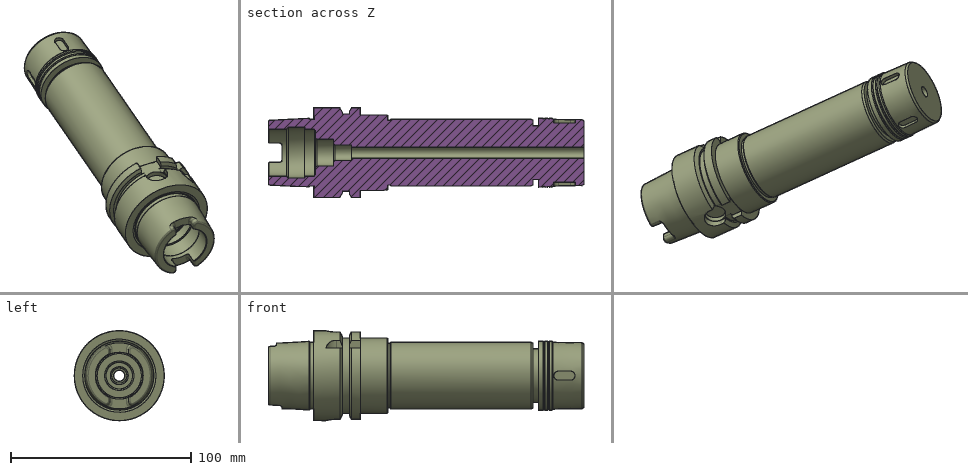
import cadquery as cq
import math


SHANK_FRONT = -25.0
RELIEF_START = -2.5
GROOVE_CENTER = 18.0
FLANGE_END = 26.0
COLLAR_END = 41.2
BODY_START = 43.0
BODY_END = 121.7
NUT_START = 124.7
NUT_CONE_START = 132.7
TOTAL_END = 150.0

SHANK_FRONT_RADIUS = 18.0
SHANK_TAPER = 1 / 20
RELIEF_RADIUS = 18.6
RELIEF_RAMP = 0.6
FACE_RELIEF_RADIUS = 20.3
FACE_RELIEF_FLOOR_RADIUS = 19.2
FACE_RELIEF_DEPTH = 0.4
NOTCH_WIDTH = 10.5
NOTCH_DEPTH_TOP = 4.4
NOTCH_DEPTH_BOTTOM = 7.4
NOTCH_CORNER_RADIUS = 2.0
NOTCH_FLOOR_RADIUS = 1.25
NOSE_RADIUS = 0.8

MOUTH_RADIUS = 13.0
MOUTH_CHAMFER = 0.3
MOUTH_LENGTH = 10.0
CAVITY_RADIUS = 14.0
CAVITY_LENGTH = 20.0
SEAT_RADIUS = 12.25
SEAT_LENGTH = 26.0
THREAD_RADIUS = 8.15
THREAD_LENGTH = 36.0
TUBE_RADIUS = 5.0
TUBE_LENGTH = 46.0
THROUGH_RADIUS = 3.0
STEP_CHAMFER = 0.8

FLANGE_RADIUS = 25.0
GROOVE_RADIUS = 21.5
GROOVE_WIDTH = 3.75
GROOVE_FLANK_ANGLE = 30.0
FRONT_FLANK_LENGTH = 1.5
REAR_FLANK_LENGTH = 1.1

CUTTER_RADIUS = 6.0
CUTTER_STOP = 12.7
SLOT_FLOOR = 21.0
POCKET_RADIUS = 5.75
POCKET_FLOOR = 18.2
ORIENT_FLOOR_Z = 15.4
ORIENT_WALL_Y = -15.5

COLLAR_RADIUS = 21.0
COLLAR_CHAMFER = 0.5
NECK_RADIUS = 18.0
BODY_RADIUS = 18.6
BODY_FRONT_CHAMFER = 0.6
BODY_END_CHAMFER = 1.2
NUT_NECK_RADIUS = 15.0

NUT_RADIUS = 19.2
NUT_CONE_RADIUS = 18.7
NUT_END_RADIUS = 18.4
NUT_CHAMFER_LENGTH = 1.2
NUT_CHAMFER_DEPTH = 0.8
NUT_STEP_LENGTH = 0.6
RING_COUNT = 2
RING_FIRST = 127.75
RING_PITCH = 2.65
RING_WIDTH = 1.1
RING_DEPTH = 0.5
KEY_COUNT = 4
KEY_START = 133.3
KEY_END = 145.0
KEY_WIDTH = 5.0
KEY_FLOOR = 16.5

TOLERANCE = 0.01


def revolve(outline):
    """Revolve (axial position, radius) points around the X axis."""
    return cq.Workplane("XY").polyline(outline).close().revolve(360, (0, 0, 0), (1, 0, 0))


def box_between(low, high):
    """Box with the given opposite corners."""
    size = [b - a for a, b in zip(low, high)]
    return cq.Workplane("XY").box(*size, centered=False).translate(low)


def axial_length(edge):
    """Extent of an edge along X."""
    box = edge.BoundingBox()
    return box.xmax - box.xmin


def axis_distance(edge):
    """Distance of the middle of an edge from the X axis."""
    middle = edge.positionAt(0.5)
    return math.hypot(middle.y, middle.z)


def make_shank():
    """Taper shank with its cavity mouth, the two drive notches and rounded noses."""
    taper_end_radius = SHANK_FRONT_RADIUS + SHANK_TAPER * (RELIEF_START - SHANK_FRONT)
    shank = revolve([
        (SHANK_FRONT, MOUTH_RADIUS),
        (SHANK_FRONT, SHANK_FRONT_RADIUS),
        (RELIEF_START, taper_end_radius),
        (RELIEF_START + RELIEF_RAMP, RELIEF_RADIUS),
        (FACE_RELIEF_DEPTH, RELIEF_RADIUS),
        (FACE_RELIEF_DEPTH, MOUTH_RADIUS),
    ])
    half = NOTCH_WIDTH / 2
    for depth, low_z, high_z in (
        (NOTCH_DEPTH_TOP, 0, FLANGE_RADIUS),
        (NOTCH_DEPTH_BOTTOM, -FLANGE_RADIUS, 0),
    ):
        shank = shank.cut(box_between(
            (SHANK_FRONT, -half, low_z), (SHANK_FRONT + depth, half, high_z)))

    corners = [
        edge for edge in shank.edges().vals()
        if abs(edge.BoundingBox().xmin - SHANK_FRONT) < TOLERANCE
        and axial_length(edge) > TOLERANCE
        and abs(abs(edge.Center().y) - half) < TOLERANCE
        and axis_distance(edge) > (MOUTH_RADIUS + SHANK_FRONT_RADIUS) / 2
    ]
    shank = shank.newObject(corners).fillet(NOTCH_CORNER_RADIUS)

    floor_edges = []
    for depth, side in ((NOTCH_DEPTH_TOP, 1), (NOTCH_DEPTH_BOTTOM, -1)):
        floor_edges += [
            edge for edge in shank.edges().vals()
            if edge.geomType() == "LINE"
            and axial_length(edge) < TOLERANCE
            and abs(edge.Center().x - SHANK_FRONT - depth) < TOLERANCE
            and side * edge.Center().z > 0
        ]
    shank = shank.newObject(floor_edges).fillet(NOTCH_FLOOR_RADIUS)

    nose_edges = [
        edge for edge in shank.faces("<X").edges().vals()
        if axis_distance(edge) > MOUTH_RADIUS + TOLERANCE
    ]
    return shank.newObject(nose_edges).fillet(NOSE_RADIUS)


def make_flange_and_body():
    """Solid of revolution behind the contact face, up to the nut neck."""
    slope = 1 / math.tan(math.radians(GROOVE_FLANK_ANGLE))
    groove_front = GROOVE_CENTER - GROOVE_WIDTH / 2
    groove_rear = GROOVE_CENTER + GROOVE_WIDTH / 2
    return revolve([
        (FACE_RELIEF_DEPTH, 0),
        (FACE_RELIEF_DEPTH, FACE_RELIEF_FLOOR_RADIUS),
        (0, FACE_RELIEF_RADIUS),
        (0, FLANGE_RADIUS),
        (groove_front - FRONT_FLANK_LENGTH, FLANGE_RADIUS),
        (groove_front, FLANGE_RADIUS - FRONT_FLANK_LENGTH * slope),
        (groove_front, GROOVE_RADIUS),
        (groove_rear, GROOVE_RADIUS),
        (groove_rear, FLANGE_RADIUS - REAR_FLANK_LENGTH * slope),
        (groove_rear + REAR_FLANK_LENGTH, FLANGE_RADIUS),
        (FLANGE_END, FLANGE_RADIUS),
        (FLANGE_END, COLLAR_RADIUS),
        (COLLAR_END - COLLAR_CHAMFER, COLLAR_RADIUS),
        (COLLAR_END, COLLAR_RADIUS - COLLAR_CHAMFER),
        (COLLAR_END, NECK_RADIUS),
        (BODY_START - BODY_FRONT_CHAMFER, NECK_RADIUS),
        (BODY_START, BODY_RADIUS),
        (BODY_END - BODY_END_CHAMFER, BODY_RADIUS),
        (BODY_END, BODY_RADIUS - BODY_END_CHAMFER / 2),
        (BODY_END, NUT_NECK_RADIUS),
        (NUT_START, NUT_NECK_RADIUS),
        (NUT_START, 0),
    ])


def make_nut():
    """Collet nut with its V rings and the wrench slots."""
    outline = [(NUT_START, 0), (NUT_START, NUT_RADIUS)]
    for index in range(RING_COUNT):
        center = RING_FIRST + index * RING_PITCH
        outline += [
            (center - RING_WIDTH / 2, NUT_RADIUS),
            (center, NUT_RADIUS - RING_DEPTH),
            (center + RING_WIDTH / 2, NUT_RADIUS),
        ]
    outline += [
        (NUT_CONE_START - NUT_STEP_LENGTH, NUT_RADIUS),
        (NUT_CONE_START, NUT_CONE_RADIUS),
        (TOTAL_END - NUT_CHAMFER_LENGTH, NUT_END_RADIUS),
        (TOTAL_END, NUT_END_RADIUS - NUT_CHAMFER_DEPTH),
        (TOTAL_END, 0),
    ]
    nut = revolve(outline)
    key_slot = (
        cq.Workplane("XY", origin=((KEY_START + KEY_END) / 2, 0, KEY_FLOOR))
        .slot2D(KEY_END - KEY_START, KEY_WIDTH)
        .extrude(NUT_RADIUS)
    )
    for index in range(KEY_COUNT):
        nut = nut.cut(key_slot.rotate((0, 0, 0), (1, 0, 0), index * 360 / KEY_COUNT))
    return nut


def make_bore():
    """Stepped bore from the shank mouth through the whole length."""
    mouth_end = SHANK_FRONT + MOUTH_LENGTH
    cavity_end = SHANK_FRONT + CAVITY_LENGTH
    seat_end = SHANK_FRONT + SEAT_LENGTH
    thread_end = SHANK_FRONT + THREAD_LENGTH
    tube_end = SHANK_FRONT + TUBE_LENGTH
    undercut = CAVITY_RADIUS - MOUTH_RADIUS
    return revolve([
        (SHANK_FRONT, 0),
        (SHANK_FRONT, MOUTH_RADIUS + MOUTH_CHAMFER),
        (SHANK_FRONT + MOUTH_CHAMFER, MOUTH_RADIUS),
        (mouth_end, MOUTH_RADIUS),
        (mouth_end + undercut, CAVITY_RADIUS),
        (cavity_end, CAVITY_RADIUS),
        (cavity_end, SEAT_RADIUS),
        (seat_end, SEAT_RADIUS),
        (seat_end, THREAD_RADIUS),
        (seat_end + STEP_CHAMFER, THREAD_RADIUS - STEP_CHAMFER),
        (thread_end, THREAD_RADIUS - STEP_CHAMFER),
        (thread_end, TUBE_RADIUS),
        (thread_end + STEP_CHAMFER, TUBE_RADIUS - STEP_CHAMFER),
        (tube_end, TUBE_RADIUS - STEP_CHAMFER),
        (tube_end, THROUGH_RADIUS),
        (TOTAL_END, THROUGH_RADIUS),
        (TOTAL_END, 0),
    ])


def make_gripper_slot():
    """Round-ended flange slot on the +Z side with a round pocket below its floor."""
    slot = box_between(
        (CUTTER_STOP, -CUTTER_RADIUS, SLOT_FLOOR),
        (FLANGE_END, CUTTER_RADIUS, FLANGE_RADIUS))
    slot_end = (
        cq.Workplane("XY", origin=(CUTTER_STOP, 0, SLOT_FLOOR))
        .circle(CUTTER_RADIUS)
        .extrude(FLANGE_RADIUS - SLOT_FLOOR)
    )
    pocket = (
        cq.Workplane("XY", origin=(CUTTER_STOP, 0, POCKET_FLOOR))
        .circle(POCKET_RADIUS)
        .extrude(FLANGE_RADIUS - POCKET_FLOOR)
    )
    return slot.union(slot_end).union(pocket)


def make_orientation_notch():
    """Notch in the flange between the -Y and +Z sides, with a cutter-round end."""
    slot = box_between(
        (CUTTER_STOP, ORIENT_WALL_Y - 2 * CUTTER_RADIUS, ORIENT_FLOOR_Z),
        (FLANGE_END, ORIENT_WALL_Y, FLANGE_RADIUS))
    slot_end = (
        cq.Workplane("XY", origin=(CUTTER_STOP, ORIENT_WALL_Y - CUTTER_RADIUS, ORIENT_FLOOR_Z))
        .circle(CUTTER_RADIUS)
        .extrude(FLANGE_RADIUS - ORIENT_FLOOR_Z)
    )
    return slot.union(slot_end)


gripper_slot = make_gripper_slot()
holder = make_flange_and_body().union(make_shank()).union(make_nut())
holder = holder.cut(gripper_slot)
holder = holder.cut(gripper_slot.rotate((0, 0, 0), (1, 0, 0), 180))
holder = holder.cut(make_orientation_notch())
result = holder.cut(make_bore())